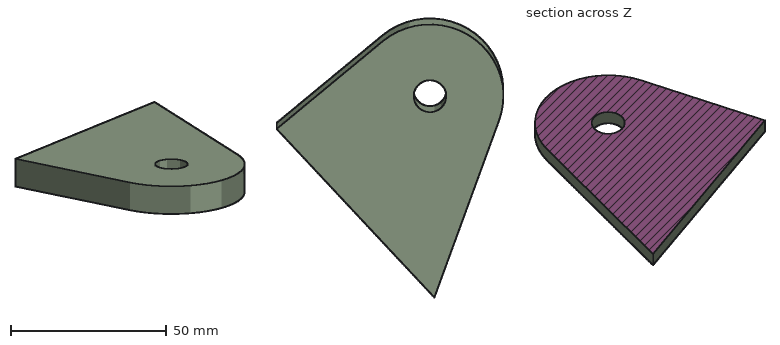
import cadquery as cq
import math

thickness = 9.4
end_radius = 23.7
hole_diameter = 10.5
left_corner = (-65.05, 13.5)
lower_corner = (-19.6, -46.7)


def tangent_point(corner, side):
    """Point where a line from the corner touches the round end.

    side is +1 or -1: which way round the end from the corner to turn.
    """
    distance = math.hypot(*corner)
    corner_angle = math.atan2(corner[1], corner[0])
    angle = corner_angle + side * math.acos(end_radius / distance)
    return (end_radius * math.cos(angle), end_radius * math.sin(angle))


upper_tangent = tangent_point(left_corner, -1)
lower_tangent = tangent_point(lower_corner, 1)
plate = (
    cq.Workplane("XY")
    .moveTo(*left_corner)
    .lineTo(*upper_tangent)
    .threePointArc((end_radius, 0), lower_tangent)
    .lineTo(*lower_corner)
    .close()
    .extrude(thickness)
)

hole = cq.Workplane("XY").circle(hole_diameter / 2).extrude(thickness)
result = plate.cut(hole)